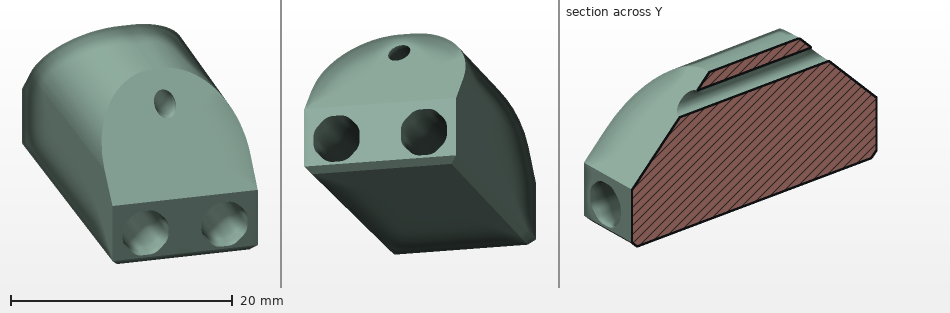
import cadquery as cq
import math

LENGTH = 28.5
HEIGHT = 15.0
WIDE_END = 14.2
NARROW_END = 13.62
TOP_RADIUS = 6.47
END_FACE_HEIGHT = 5.98
BOTTOM_CHAMFER = 0.6

CORD_HOLE_DIAMETER = 2.0
CORD_HOLE_HEIGHT = 12.55

CHANNEL_SIDES = 8
CHANNEL_ACROSS_FLATS = 4.3
CHANNEL_CORNER_RADIUS = 1.37
CHANNEL_OFFSET = 4.08
CHANNEL_SHIFT = 0.37
CHANNEL_CENTER_HEIGHT = END_FACE_HEIGHT / 2

HALF_LENGTH = LENGTH / 2
SLOPE_RUN = HEIGHT - END_FACE_HEIGHT


def tapered_block():
    """Tapered block with a rounded back and a chamfered underside."""
    footprint = [
        (-HALF_LENGTH, -WIDE_END / 2),
        (HALF_LENGTH, -NARROW_END / 2),
        (HALF_LENGTH, NARROW_END / 2),
        (-HALF_LENGTH, WIDE_END / 2),
    ]
    block = cq.Workplane("XY").polyline(footprint).close().extrude(HEIGHT)
    block = block.faces("<Z").edges().chamfer(BOTTOM_CHAMFER)
    long_top_edges = block.faces(">Z").edges("<Y or >Y")
    return long_top_edges.fillet(TOP_RADIUS)


def side_envelope():
    """Trapezoid-topped prism that trims both ends of the block."""
    half_ridge = HALF_LENGTH - SLOPE_RUN
    outline = [
        (-HALF_LENGTH, 0),
        (HALF_LENGTH, 0),
        (HALF_LENGTH, END_FACE_HEIGHT),
        (half_ridge, HEIGHT),
        (-half_ridge, HEIGHT),
        (-HALF_LENGTH, END_FACE_HEIGHT),
    ]
    return cq.Workplane("XZ").polyline(outline).close().extrude(WIDE_END / 2, both=True)


def cord_hole():
    return (
        cq.Workplane("YZ", origin=(-HALF_LENGTH, 0, CORD_HOLE_HEIGHT))
        .circle(CORD_HOLE_DIAMETER / 2)
        .extrude(LENGTH)
    )


def channel(side):
    """Rounded octagonal channel on one side, leaning toward the centre plane."""
    half_angle = math.pi / CHANNEL_SIDES
    corner_distance = CHANNEL_ACROSS_FLATS / 2 / math.cos(half_angle)
    profile = cq.Sketch().regularPolygon(
        corner_distance, CHANNEL_SIDES, angle=math.degrees(half_angle)
    )
    profile = profile.vertices().fillet(CHANNEL_CORNER_RADIUS)
    start = (-HALF_LENGTH, side * CHANNEL_OFFSET, CHANNEL_CENTER_HEIGHT)
    end = (HALF_LENGTH, side * (CHANNEL_OFFSET - CHANNEL_SHIFT), CHANNEL_CENTER_HEIGHT)
    path = cq.Workplane("XY").polyline([start, end])
    return cq.Workplane("YZ", origin=start).placeSketch(profile).sweep(path)


result = tapered_block().intersect(side_envelope()).cut(cord_hole())
for side in (-1, 1):
    result = result.cut(channel(side))